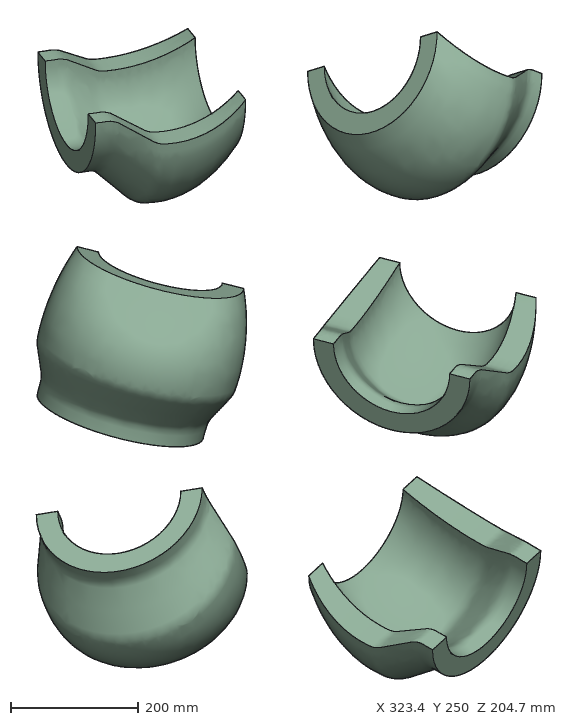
import cadquery as cq
import math

length = 250.0
end_outer_radius = 135.2
end_inner_radius = 100.3
mid_outer_radius = 161.7
mid_inner_radius = 116.5
mid_drop = 42.7

bend_radius = 42.0
slope_angle = math.radians(32.0)
slope_start = 30.0
section_count = 45

mid_y = length / 2
wide_radius = (mid_y**2 + mid_drop**2) / (2 * mid_drop)
wide_center_drop = mid_drop - wide_radius

neck_end = slope_start - bend_radius * math.tan(slope_angle / 2)
slope_begin = neck_end + bend_radius * math.sin(slope_angle)

shift_y = slope_start + bend_radius * math.sin(slope_angle)
shift_drop = -bend_radius * math.cos(slope_angle)
offset_y = mid_y - shift_y
offset_drop = wide_center_drop - shift_drop
along = offset_y * math.cos(slope_angle) + offset_drop * math.sin(slope_angle)
across = offset_drop * math.cos(slope_angle) - offset_y * math.sin(slope_angle)
travel = along + math.sqrt((wide_radius - bend_radius)**2 - across**2)
bend_y = shift_y + travel * math.cos(slope_angle)
bend_drop = shift_drop + travel * math.sin(slope_angle)
slope_end = bend_y - bend_radius * math.sin(slope_angle)
wide_begin = mid_y + (bend_y - mid_y) * wide_radius / (wide_radius - bend_radius)


def rim_drop(y):
    """Drop of the rim below the end level at the position y."""
    if y <= neck_end:
        return 0.0
    if y <= slope_begin:
        return bend_radius - math.sqrt(bend_radius**2 - (y - neck_end)**2)
    if y <= slope_end:
        return (y - slope_start) * math.tan(slope_angle)
    if y <= wide_begin:
        return bend_drop + math.sqrt(bend_radius**2 - (y - bend_y)**2)
    return wide_center_drop + math.sqrt(wide_radius**2 - (y - mid_y)**2)


def half_ring(y):
    """Closed half-ring wire at the position y; its radii grow with the drop."""
    drop = rim_drop(y)
    growth = drop / mid_drop
    outer = end_outer_radius + growth * (mid_outer_radius - end_outer_radius)
    inner = end_inner_radius + growth * (mid_inner_radius - end_inner_radius)
    sketch = (
        cq.Workplane("XZ", origin=(0, y, -drop))
        .moveTo(-outer, 0)
        .threePointArc((0, -outer), (outer, 0))
        .lineTo(inner, 0)
        .threePointArc((0, -inner), (-inner, 0))
        .close()
    )
    return sketch.val()


positions = [length * i / (section_count - 1) for i in range(section_count)]
result = cq.Workplane(cq.Solid.makeLoft([half_ring(y) for y in positions]))